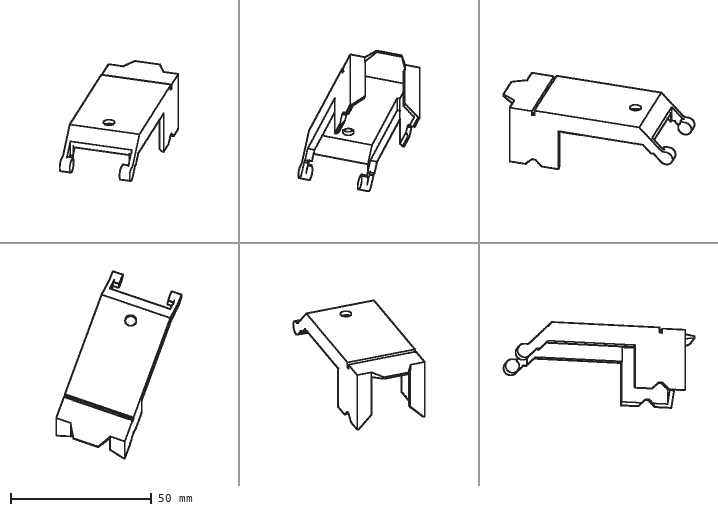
import cadquery as cq
import math

width = 26.0
length = 66.0
height = 22.6
wall = 1.6
slope_start_y = 12.5
slope_end_y = 8.1
rail_depth = 7.0
leg_front_y = 42.7
body_rear_y = 60.95

rear_step = 0.4
rear_roof = 2.0
tab_tip_thickness = 0.7
tab_root_half_width = 7.5
tab_tip_half_width = 4.7
slot_front_y = 51.65
slot_rear_y = 52.65
slot_depth = 2.0

knob_radius = 2.5
knob_width = 3.75
knob_y = knob_radius
knob_bottom_z = -13.5
knob_z = knob_bottom_z + knob_radius
knob_top_z = knob_z + knob_radius
knob_flat_end_y = 4.2
arm_fillet = 1.2
arm_step_y = 6.9
arm_step_z = -9.95

foot_width = 0.6
notch_y = 52.0
notch_half_top = 0.65
notch_depth = 2.4
rib_thickness = 1.0
web_reach = 5.6
hole_diameter = 3.95
hole_y = 18.0

half_width = width / 2
inner_half_width = half_width - wall
rail_front_y = slope_end_y - arm_step_z - rail_depth


def extrude_yz(outline, x_start, x_end):
    """Extrude a closed Y-Z outline from x_start to x_end."""
    return outline.extrude(x_end - x_start).translate((x_start, 0, 0))


def block(x_start, x_end, y_start, y_end, z_start, z_end):
    size = (x_end - x_start, y_end - y_start, z_end - z_start)
    return cq.Workplane("XY").box(*size, centered=False).translate((x_start, y_start, z_start))


def side_wall():
    """Left wall: leg, rail and sloping arm down to the knob."""
    diagonal = knob_radius * math.sqrt(0.5)
    tangent_y = knob_y + diagonal
    tangent_z = knob_z - diagonal
    step_bottom_z = tangent_z + arm_step_y - tangent_y

    corner_y = slope_start_y + knob_top_z
    tangent_length = arm_fillet * math.tan(math.pi / 8)
    fillet_end_y = corner_y - tangent_length
    fillet_start_y = corner_y + tangent_length * math.sqrt(0.5)
    fillet_start_z = fillet_start_y - slope_start_y
    fillet_mid = (
        fillet_end_y + arm_fillet * math.sin(math.pi / 8),
        knob_top_z + arm_fillet * (1 - math.cos(math.pi / 8)),
    )

    outline = (
        cq.Workplane("YZ")
        .moveTo(body_rear_y, -rear_step)
        .lineTo(slot_rear_y, -rear_step)
        .lineTo(slot_rear_y, -slot_depth)
        .lineTo(slot_front_y, -slot_depth)
        .lineTo(slot_front_y, 0)
        .lineTo(slope_start_y, 0)
        .lineTo(fillet_start_y, fillet_start_z)
        .threePointArc(fillet_mid, (fillet_end_y, knob_top_z))
        .lineTo(knob_y, knob_top_z)
        .threePointArc((knob_y - diagonal, knob_z - diagonal), (tangent_y, tangent_z))
        .lineTo(arm_step_y, step_bottom_z)
        .lineTo(arm_step_y, arm_step_z)
        .lineTo(slope_end_y, arm_step_z)
        .lineTo(rail_front_y, -rail_depth)
        .lineTo(leg_front_y, -rail_depth)
        .lineTo(leg_front_y, -height)
        .lineTo(body_rear_y, -height)
        .close()
    )
    return extrude_yz(outline, -half_width, -inner_half_width)


def knob():
    """Left pivot knob: a cylinder with a flat tangent to its top."""
    x_end = knob_width - half_width
    cylinder = extrude_yz(
        cq.Workplane("YZ").center(knob_y, knob_z).circle(knob_radius), -half_width, x_end
    )
    flat = block(-half_width, x_end, knob_y, knob_flat_end_y, knob_z, knob_top_z)
    return cylinder.union(flat)


def inner_rib():
    """Stiffener inside the left rail, following its lower edge."""
    outline = cq.Workplane("YZ").polyline([
        (slope_end_y, slope_end_y - slope_start_y),
        (slope_start_y, 0),
        (leg_front_y, 0),
        (leg_front_y, -rail_depth),
        (rail_front_y, -rail_depth),
        (slope_end_y, arm_step_z),
    ]).close()
    return extrude_yz(outline, -inner_half_width, rib_thickness - inner_half_width)


def end_web():
    """Left return at the rear end of the body."""
    return block(-inner_half_width, web_reach - half_width,
                 body_rear_y - wall, body_rear_y, -height, -rear_step)


def foot_bevel():
    """45 degree cut under the left leg and web, rising towards the middle."""
    start_x = foot_width - half_width
    rise = -start_x
    return (
        cq.Workplane("XZ")
        .polyline([(start_x, -height), (0, -height), (0, rise - height)])
        .close()
        .extrude(-length)
    )


def front_roof():
    """Top plate with its sloped front, of constant thickness."""
    slope_bottom = slope_end_y - slope_start_y - wall * math.sqrt(2)
    bend_shift = wall * math.tan(math.pi / 8)
    outline = cq.Workplane("YZ").polyline([
        (slot_front_y, 0),
        (slope_start_y, 0),
        (slope_end_y, slope_end_y - slope_start_y),
        (slope_end_y, slope_bottom),
        (slope_start_y + bend_shift, -wall),
        (slot_front_y, -wall),
    ]).close()
    return extrude_yz(outline, -half_width, half_width)


def rear_roof_and_tab():
    """Lowered rear plate ending in a tapered tab."""
    bottom = -rear_step - rear_roof
    side = cq.Workplane("YZ").polyline([
        (slot_rear_y, -rear_step),
        (length, -rear_step),
        (length, -rear_step - tab_tip_thickness),
        (body_rear_y, bottom),
        (slot_rear_y, bottom),
    ]).close()
    plan = cq.Workplane("XY").polyline([
        (-half_width, slot_rear_y),
        (half_width, slot_rear_y),
        (half_width, body_rear_y),
        (tab_root_half_width, body_rear_y),
        (tab_tip_half_width, length),
        (-tab_tip_half_width, length),
        (-tab_root_half_width, body_rear_y),
        (-half_width, body_rear_y),
    ]).close().extrude(-height)
    return extrude_yz(side, -half_width, half_width).intersect(plan)


def leg_notch():
    """Trapezoidal notch with 45 degree sides through both feet."""
    half_base = notch_half_top + notch_depth
    outline = cq.Workplane("YZ").polyline([
        (notch_y - half_base, -height),
        (notch_y - notch_half_top, notch_depth - height),
        (notch_y + notch_half_top, notch_depth - height),
        (notch_y + half_base, -height),
    ]).close()
    return extrude_yz(outline, -half_width, half_width)


left_side = side_wall().union(knob()).union(inner_rib()).union(end_web()).cut(foot_bevel())
right_side = left_side.mirror("YZ")
hole = cq.Workplane("XY").center(0, hole_y).circle(hole_diameter / 2).extrude(-height)

result = (
    front_roof()
    .union(rear_roof_and_tab())
    .union(left_side)
    .union(right_side)
    .cut(leg_notch())
    .cut(hole)
)